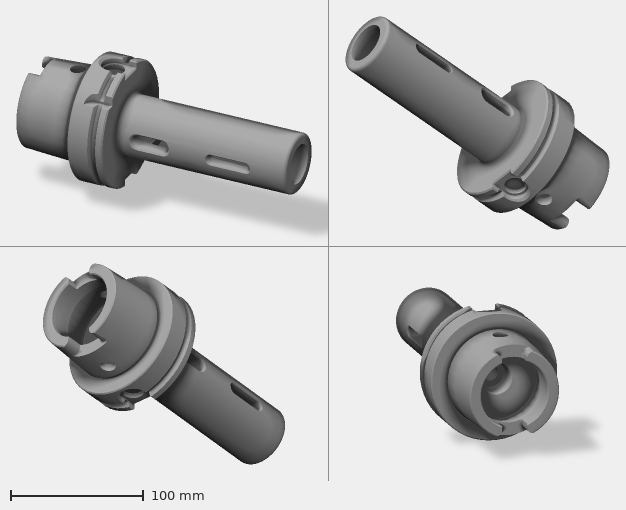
import cadquery as cq
import math

TOTAL_LENGTH = 220.0

SHANK_END_RADIUS = 35.5
SHANK_BASE_RADIUS = 37.8
SHANK_LENGTH = 47.3
SHANK_EDGE_CHAMFER = 0.9

RELIEF_START = 48.2
RELIEF_RADIUS = 36.5
FACE_RELIEF_RADIUS = 39.0
FACE_RELIEF_DEPTH = 0.7

FLANGE_DIAMETER = 100.0
FLANGE_RADIUS = FLANGE_DIAMETER / 2
FLANGE_START = 50.0
FLANGE_END = 79.2
FLANGE_FRONT_CHAMFER = 0.9
FLANGE_REAR_CHAMFER = 1.0

GROOVE_CENTER = 70.2
GROOVE_DEPTH = 4.2
GROOVE_TOP_WIDTH = 6.5
GROOVE_FLOOR_WIDTH = 3.3

BODY_RADIUS = 24.0
BODY_ROOT_FILLET = 2.5
BODY_END_FILLET = 2.6

BORE_RADIUS = 26.5
BORE_MOUTH_CHAMFER = 0.9
BORE_LIP_LENGTH = 19.8
BORE_RECESS_RADIUS = 31.5
BORE_RECESS_SLOPE = 13.0
BORE_DEPTH = 44.0

SEAT_RADIUS = 11.2
SEAT_CHAMFER = 1.0
SEAT_DEPTH = 17.5
PASSAGE_DIAMETER = 13.0

SOCKET_MOUTH_RADIUS = 15.6
SOCKET_END_RADIUS = 12.5
SOCKET_DEPTH = 118.0

DRIVE_SLOT_WIDTH = 20.0
DRIVE_SLOT_TOP_DEPTH = 10.1
DRIVE_SLOT_BOTTOM_DEPTH = 14.7
DRIVE_SLOT_FLOOR_FILLET = 1.3
DRIVE_SLOT_FLARE_RADIUS = 4.8
DRIVE_SLOT_FLARE_START = 27.3

CROSS_HOLE_CENTER = 35.0
CROSS_HOLE_DIAMETER = 12.0

KEYWAY_CENTER = 65.3
KEYWAY_WIDTH = 20.0
KEYWAY_FLOOR = 44.0
KEYWAY_CHAMFER_START = 48.0
KEYWAY_CHAMFER_ANGLE = 45.0
KEYWAY_HOLE_RADIUS = 8.1
KEYWAY_HOLE_DEPTH = 4.5

NOTCH_OFFSET = 31.5
NOTCH_CUTTER_RADIUS = 8.0
NOTCH_CUTTER_CENTER = 66.2

CROSS_SLOTS = (
    (106.0, 31.2, 11.2, 1.3),
    (171.8, 36.7, 8.1, 0.7),
)

CLEARANCE = 2.2
X_AXIS = ((0, 0, 0), (1, 0, 0))


def revolve_about_x(profile):
    return profile.close().revolve(360, *X_AXIS)


def make_outer_body():
    groove_floor_radius = FLANGE_RADIUS - GROOVE_DEPTH
    half_top = GROOVE_TOP_WIDTH / 2
    half_floor = GROOVE_FLOOR_WIDTH / 2
    arc_inset = 1 - math.sqrt(0.5)
    root_arc_x = FLANGE_END + BODY_ROOT_FILLET * arc_inset
    root_arc_radius = BODY_RADIUS + BODY_ROOT_FILLET * arc_inset
    end_arc_x = TOTAL_LENGTH - BODY_END_FILLET * arc_inset
    end_arc_radius = BODY_RADIUS - BODY_END_FILLET * arc_inset
    profile = (
        cq.Workplane("XY")
        .moveTo(0, 0)
        .lineTo(0, SHANK_END_RADIUS - SHANK_EDGE_CHAMFER)
        .lineTo(SHANK_EDGE_CHAMFER, SHANK_END_RADIUS)
        .lineTo(SHANK_LENGTH, SHANK_BASE_RADIUS)
        .lineTo(RELIEF_START, RELIEF_RADIUS)
        .lineTo(FLANGE_START + FACE_RELIEF_DEPTH, RELIEF_RADIUS)
        .lineTo(FLANGE_START, FACE_RELIEF_RADIUS)
        .lineTo(FLANGE_START, FLANGE_RADIUS - FLANGE_FRONT_CHAMFER)
        .lineTo(FLANGE_START + FLANGE_FRONT_CHAMFER, FLANGE_RADIUS)
        .lineTo(GROOVE_CENTER - half_top, FLANGE_RADIUS)
        .lineTo(GROOVE_CENTER - half_floor, groove_floor_radius)
        .lineTo(GROOVE_CENTER + half_floor, groove_floor_radius)
        .lineTo(GROOVE_CENTER + half_top, FLANGE_RADIUS)
        .lineTo(FLANGE_END - FLANGE_REAR_CHAMFER, FLANGE_RADIUS)
        .lineTo(FLANGE_END, FLANGE_RADIUS - FLANGE_REAR_CHAMFER)
        .lineTo(FLANGE_END, BODY_RADIUS + BODY_ROOT_FILLET)
        .threePointArc((root_arc_x, root_arc_radius), (FLANGE_END + BODY_ROOT_FILLET, BODY_RADIUS))
        .lineTo(TOTAL_LENGTH - BODY_END_FILLET, BODY_RADIUS)
        .threePointArc((end_arc_x, end_arc_radius), (TOTAL_LENGTH, BODY_RADIUS - BODY_END_FILLET))
        .lineTo(TOTAL_LENGTH, 0)
    )
    return revolve_about_x(profile)


def make_inner_cavity():
    recess_rise = BORE_RECESS_RADIUS - BORE_RADIUS
    recess_full_depth = BORE_LIP_LENGTH + recess_rise / math.tan(math.radians(BORE_RECESS_SLOPE))
    profile = (
        cq.Workplane("XY")
        .moveTo(0, 0)
        .lineTo(0, BORE_RADIUS + BORE_MOUTH_CHAMFER)
        .lineTo(BORE_MOUTH_CHAMFER, BORE_RADIUS)
        .lineTo(BORE_LIP_LENGTH, BORE_RADIUS)
        .lineTo(recess_full_depth, BORE_RECESS_RADIUS)
        .lineTo(BORE_DEPTH, BORE_RECESS_RADIUS)
        .lineTo(BORE_DEPTH, SEAT_RADIUS + SEAT_CHAMFER)
        .lineTo(BORE_DEPTH + SEAT_CHAMFER, SEAT_RADIUS)
        .lineTo(BORE_DEPTH + SEAT_DEPTH, SEAT_RADIUS)
        .lineTo(BORE_DEPTH + SEAT_DEPTH, PASSAGE_DIAMETER / 2)
        .lineTo(TOTAL_LENGTH - SOCKET_DEPTH, PASSAGE_DIAMETER / 2)
        .lineTo(TOTAL_LENGTH - SOCKET_DEPTH, SOCKET_END_RADIUS)
        .lineTo(TOTAL_LENGTH, SOCKET_MOUTH_RADIUS)
        .lineTo(TOTAL_LENGTH, 0)
    )
    return revolve_about_x(profile)


def make_drive_slot(depth, side):
    """Slot from the shank end, its side walls flaring outward with a round; side is +1 or -1 in Z."""
    half_width = DRIVE_SLOT_WIDTH / 2
    flare = DRIVE_SLOT_FLARE_RADIUS
    flare_mid = flare * (1 - math.sqrt(0.5))
    flare_top = DRIVE_SLOT_FLARE_START + flare
    outer = SHANK_BASE_RADIUS + CLEARANCE
    section = (
        cq.Workplane("YZ", origin=(-CLEARANCE, 0, 0))
        .moveTo(-half_width, 0)
        .lineTo(half_width, 0)
        .lineTo(half_width, side * DRIVE_SLOT_FLARE_START)
        .threePointArc(
            (half_width + flare_mid, side * (flare_top - flare_mid)),
            (half_width + flare, side * flare_top),
        )
        .lineTo(outer, side * flare_top)
        .lineTo(outer, side * outer)
        .lineTo(-outer, side * outer)
        .lineTo(-outer, side * flare_top)
        .lineTo(-half_width - flare, side * flare_top)
        .threePointArc(
            (-half_width - flare_mid, side * (flare_top - flare_mid)),
            (-half_width, side * DRIVE_SLOT_FLARE_START),
        )
        .close()
    )
    slot = section.extrude(depth + CLEARANCE)
    return slot.faces(">X").edges().fillet(DRIVE_SLOT_FLOOR_FILLET)


def make_keyway(side):
    """Round-ended keyway open toward the body, with a bevelled rim and a blind hole in its floor."""
    top = FLANGE_RADIUS + CLEARANCE
    half_width = KEYWAY_WIDTH / 2
    open_end = FLANGE_END + half_width

    def outline(height):
        return (
            cq.Workplane("XY", origin=(0, 0, height))
            .moveTo(open_end, half_width)
            .lineTo(KEYWAY_CENTER, half_width)
            .threePointArc((KEYWAY_CENTER - half_width, 0), (KEYWAY_CENTER, -half_width))
            .lineTo(open_end, -half_width)
            .close()
        )

    pocket = outline(KEYWAY_FLOOR).extrude(top - KEYWAY_FLOOR)
    bevel_height = top - KEYWAY_CHAMFER_START
    bevel = outline(KEYWAY_CHAMFER_START).extrude(bevel_height, taper=-KEYWAY_CHAMFER_ANGLE)
    hole = (
        cq.Workplane("XY", origin=(KEYWAY_CENTER, 0, KEYWAY_FLOOR - KEYWAY_HOLE_DEPTH))
        .circle(KEYWAY_HOLE_RADIUS)
        .extrude(KEYWAY_HOLE_DEPTH + CLEARANCE)
    )
    keyway = pocket.union(bevel).union(hole)
    return keyway if side > 0 else keyway.mirror("XY")


def make_orientation_notch():
    """Corner notch on the -Y, +Z side, ended by the round of the cutter."""
    far_y = -FLANGE_RADIUS
    center_y = -NOTCH_OFFSET - NOTCH_CUTTER_RADIUS
    end = FLANGE_END + CLEARANCE
    return (
        cq.Workplane("XY", origin=(0, 0, NOTCH_OFFSET))
        .moveTo(NOTCH_CUTTER_CENTER, -NOTCH_OFFSET)
        .lineTo(end, -NOTCH_OFFSET)
        .lineTo(end, far_y)
        .lineTo(NOTCH_CUTTER_CENTER - NOTCH_CUTTER_RADIUS, far_y)
        .lineTo(NOTCH_CUTTER_CENTER - NOTCH_CUTTER_RADIUS, center_y)
        .radiusArc((NOTCH_CUTTER_CENTER, -NOTCH_OFFSET), NOTCH_CUTTER_RADIUS)
        .close()
        .extrude(FLANGE_RADIUS - NOTCH_OFFSET)
    )


def make_cross_slot(center, length, width):
    return (
        cq.Workplane("XZ", origin=(center, 0, 0))
        .slot2D(length, width)
        .extrude(BODY_RADIUS + CLEARANCE, both=True)
    )


result = make_outer_body()

for center, length, width, chamfer in CROSS_SLOTS:
    result = result.cut(make_cross_slot(center, length, width))
    rim_box = cq.selectors.BoxSelector(
        (center - length, -BODY_RADIUS - CLEARANCE, -width),
        (center + length, BODY_RADIUS + CLEARANCE, width),
        boundingbox=True,
    )
    slot_walls = cq.selectors.ParallelDirSelector(cq.Vector(0, 1, 0))
    result = result.edges(rim_box - slot_walls).chamfer(chamfer)

result = result.cut(make_inner_cavity())

for slot_depth, slot_side in ((DRIVE_SLOT_TOP_DEPTH, 1), (DRIVE_SLOT_BOTTOM_DEPTH, -1)):
    result = result.cut(make_drive_slot(slot_depth, slot_side))
    result = result.cut(make_keyway(slot_side))
    floor_edge_center = (FLANGE_END, 0, slot_side * KEYWAY_FLOOR)
    floor_rear_edge = cq.selectors.NearestToPointSelector(floor_edge_center)
    result = result.edges("|Y").edges(floor_rear_edge).chamfer(FLANGE_REAR_CHAMFER)

cross_hole = (
    cq.Workplane("XY", origin=(CROSS_HOLE_CENTER, 0, 0))
    .circle(CROSS_HOLE_DIAMETER / 2)
    .extrude(SHANK_BASE_RADIUS + CLEARANCE, both=True)
)
result = result.cut(cross_hole)
result = result.cut(make_orientation_notch())